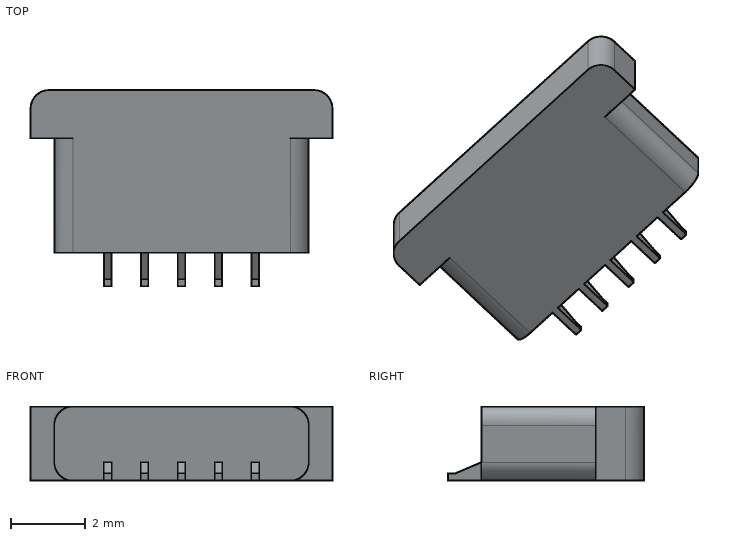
import cadquery as cq

total_width = 8.15
total_depth = 5.3
height = 2.0

flange_depth = 1.3
flange_corner_radius = 0.505
body_width = 6.86
body_edge_radius = 0.5
pin_length = 0.905
body_front = pin_length
flange_front = total_depth - flange_depth

pin_count = 5
pin_pitch = 0.995
pin_width = 0.2
pin_root_height = 0.5
foot_height = 0.195
foot_length = 0.195


def make_flange():
    """Full-width block with its two rear vertical edges rounded."""
    return (
        cq.Workplane("XY")
        .box(total_width, flange_depth, height, centered=(True, False, False))
        .translate((0, flange_front, 0))
        .edges("|Z and >Y")
        .fillet(flange_corner_radius)
    )


def make_body():
    """Block in front of the flange, rounded along its depth."""
    return (
        cq.Workplane("XY")
        .box(body_width, flange_front - body_front, height, centered=(True, False, False))
        .translate((0, body_front, 0))
        .edges("|Y")
        .fillet(body_edge_radius)
    )


def make_pin(center_x):
    """Pin reaching from the body front to Y = 0, resting on Z = 0."""
    side_profile = [
        (0, 0),
        (body_front, 0),
        (body_front, pin_root_height),
        (foot_length, foot_height),
        (0, foot_height),
    ]
    return (
        cq.Workplane("YZ")
        .polyline(side_profile)
        .close()
        .extrude(pin_width / 2, both=True)
        .translate((center_x, 0, 0))
    )


result = make_flange().union(make_body())
for index in range(pin_count):
    pin_x = (index - (pin_count - 1) / 2) * pin_pitch
    result = result.union(make_pin(pin_x))